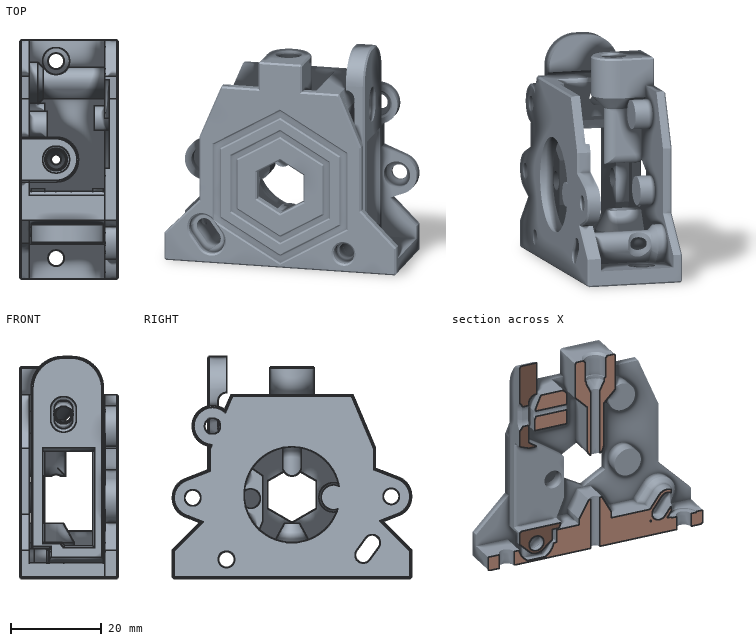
import cadquery as cq
import math


total_width = 21.85
plate_thick = 2.1
cover_thick = 2.95
cover_x = total_width - cover_thick
edge_chamfer = 0.35
base_thick = 3.5

foot_half = 26.5
waist_half = 18.5
shoulder_half = 13.45
foot_top = 6.3
waist_bottom = 14.3
waist_top = 28.9
shoulder_z = 40.85

drive_z = 18.6
hex_hole_radius = 6.15
hex_chamfer = 0.35
groove_depth = 0.3
groove_radii = [(17.85, 15.55), (13.2, 11.15)]

path_x = 8.05
path_hole_dia = 2.2
tower_top = 47.05
tower_radius = 5.0
tower_taper_z = 38.2
nozzle_radius = 2.095
nozzle_bottom = 22.75
inlet_rim_dia = 6.0
inlet_dia = 5.0
inlet_depth = 5.3
inlet_step_dia = 4.3
inlet_step_depth = 0.8
inlet_cone_depth = 2.1
guide_top = 12.3
guide_top_radius = 1.65
guide_skirt_z = 7.95
guide_radius = 4.05

floor_z = 6.6
floor_front = -9.55
floor_back = 13.65
bridge_bottom = 32.25
bridge_front = -15.05
bridge_front_top = 37.1
bridge_back = -7.05
bridge_chamfer = 0.85
bridge_hole_chamfer = 0.35

screw_dia = 3.5
mount_y = 21.85
mount_head_dia = 6.0
mount_head_z = 3.3

slot_y = 16.785
slot_z = 6.6
slot_angle = 54.0
slot_travel = 3.35
slot_head_radius = 3.1
slot_head_depth = 1.85
slot_step = 0.2
slot_wall_radius = 2.65
slot_flange_radius = 3.8
slot_flange_end = 4.05

gear_boss_dia = 6.5
gear_y = 9.25
gear_z = 18.05
gear_boss_end = 5.5
idle_boss_y = 7.5
idle_boss_z = 34.9
idle_boss_end = 6.15
hub_dia = 5.5
hub_end = 16.5
gear_pocket_radius = 11.1
gear_pocket_depth = 0.95
drive_opening_radius = 10.6

lug_radius = 4.5
lug_y = foot_half - lug_radius
lug_heights = {1: 18.25, -1: 17.9}
lug_head_dia = 6.0
lug_head_depth = 2.1
lug_flank_z = 6.2
top_lug_y = -17.6
top_lug_z = 33.85
top_lug_head_dia = 6.5
top_lug_head_chamfer = 0.4

pivot_y = -14.55
pivot_z = 4.25
trough_radius = 4.3
trough_floor = 0.55
pivot_head_dia = 4.7
pivot_head_depth = 3.2
spacer_radius = 2.45
spacer_end = 6.45
spacer_chamfer = 0.55

arm_left = 2.55
arm_right = 18.55
arm_top = 49.25
arm_front = -18.65
arm_back = -16.4
head_back = -14.4
head_bottom = 41.25
head_radius = 7.05
head_relief_radius = head_back - arm_back
arm_end_radius = 2.5
arm_bottom = pivot_z - arm_end_radius
arm_front_bottom = 4.75
arm_foot_back = -10.55
notch_right = 6.6
notch_top = 6.8
ear_foot_back = -8.9
ear_low_z = 12.75
ear_high_z = 22.8
ear_neck_z = 29.7
window_left = 5.5
window_right = 16.2
window_top = 28.2
window_low = 7.3
window_high = 8.1
window_step_x = 9.25
window_step_run = 0.7
window_chamfer = 0.4
window_roof_rise = 0.85
arm_slot_x = 9.7
arm_slot_z = 36.45
arm_slot_width = 4.2
arm_slot_height = 6.35
arm_slot_chamfer = 0.77
axle_y = -9.2
axle_z = 17.75
axle_dia = 4.3
ear_back = -6.45


def at_x(x):
    """Workplane across X, with local axes Y and Z."""
    return cq.Workplane("YZ", origin=(x, 0, 0))


def at_y(y):
    """Workplane across Y, with local axes X and Z; a negative extrusion runs towards +Y."""
    return cq.Workplane("XZ", origin=(0, y, 0))


def rod(x0, x1, y, z, radius):
    """Cylinder along X."""
    return at_x(x0).center(y, z).circle(radius).extrude(x1 - x0)


def box(x0, x1, y0, y1, z0, z1):
    return cq.Workplane("XY").box(x1 - x0, y1 - y0, z1 - z0, centered=False).translate((x0, y0, z0))


def prism_x(x0, x1, points):
    """Prism along X over a (Y, Z) outline."""
    return at_x(x0).polyline(points).close().extrude(x1 - x0)


def slanted_slot(x0, x1, radius, taper=0):
    """Obround prism around the slanted screw slot."""
    sketch = at_x(x0).center(slot_y, slot_z)
    return sketch.slot2D(slot_travel + 2 * radius, 2 * radius, slot_angle).extrude(x1 - x0, taper=taper)


def hexagon(x0, depth, radius, taper=0):
    """Hexagonal prism on the drive axis with one corner pointing up."""
    corners = [
        (radius * math.sin(i * math.pi / 3), drive_z + radius * math.cos(i * math.pi / 3))
        for i in range(6)
    ]
    return at_x(x0).polyline(corners).close().extrude(depth, taper=taper)


def plate(x0, thickness):
    """Side plate with the outline shared by the housing and the cover."""
    right = [
        (foot_half - edge_chamfer, 0),
        (foot_half, edge_chamfer),
        (foot_half, foot_top),
        (waist_half, waist_bottom),
        (waist_half, waist_top),
        (shoulder_half, shoulder_z),
    ]
    left = [(-y, z) for y, z in reversed(right)]
    return prism_x(x0, x0 + thickness, right + left)


def d_section(z, radius):
    """Wire at height z: half round about the filament path, with straight sides back to the plate."""
    return (
        cq.Workplane("XY", origin=(0, 0, z))
        .moveTo(0, -radius)
        .lineTo(path_x, -radius)
        .threePointArc((path_x + radius, 0), (path_x, radius))
        .lineTo(0, radius)
        .close()
        .wires()
        .val()
    )


def d_column(sections):
    """Stack of D-shaped sections given as (height, radius), each joined to the next by straight walls."""
    column = None
    for (z0, r0), (z1, r1) in zip(sections, sections[1:]):
        piece = cq.Workplane(cq.Solid.makeLoft([d_section(z0, r0), d_section(z1, r1)], True))
        column = piece if column is None else column.union(piece)
    return column


def tower():
    """Filament inlet tower, tapering to a narrow nozzle whose underside is half round about X."""
    column = d_column([
        (nozzle_bottom, nozzle_radius),
        (tower_taper_z - (tower_radius - nozzle_radius), nozzle_radius),
        (tower_taper_z, tower_radius),
        (tower_top, tower_radius),
    ])
    round_z = nozzle_bottom + nozzle_radius
    envelope = rod(0, cover_x, 0, round_z, nozzle_radius)
    envelope = envelope.union(box(0, cover_x, -tower_radius, tower_radius, round_z, tower_top))
    return column.intersect(envelope)


def housing_plate():
    outer = plate(0, plate_thick)
    outer = outer.union(box(0, plate_thick, -tower_radius, tower_radius, drive_z, tower_top))
    return outer.union(tower()).faces("<X or >Z").chamfer(edge_chamfer)


def guide():
    return d_column([
        (base_thick, guide_radius),
        (guide_skirt_z, guide_radius),
        (guide_top, guide_top_radius),
    ])


def bridge():
    return prism_x(plate_thick, cover_x, [
        (bridge_back, bridge_bottom),
        (bridge_back, shoulder_z - bridge_chamfer),
        (bridge_back - bridge_chamfer, shoulder_z),
        (-shoulder_half, shoulder_z),
        (bridge_front, bridge_front_top),
        (bridge_front, bridge_bottom),
    ])


def slot_tube():
    """Wall around the slanted screw slot, with a flange that tapers down to it."""
    tube = slanted_slot(plate_thick, cover_x, slot_wall_radius)
    flange = slanted_slot(plate_thick, slot_flange_end, slot_flange_radius)
    cone_length = slot_flange_radius - slot_wall_radius
    cone = slanted_slot(slot_flange_end, slot_flange_end + cone_length, slot_flange_radius, taper=45)
    above_ground = box(0, cover_x, -foot_half, foot_half, 0, tower_top)
    return tube.union(flange).union(cone).intersect(above_ground)


def pivot_trough():
    """Room for the round lower end of the arm."""
    round_room = rod(plate_thick, cover_x, pivot_y, pivot_z, trough_radius)
    return round_room.intersect(box(0, cover_x, -foot_half, 0, trough_floor, drive_z))


def pivot_spacer():
    """Round-topped pad that holds the arm off the plate."""
    pad = rod(plate_thick, spacer_end, pivot_y, pivot_z, spacer_radius)
    foot = box(plate_thick, spacer_end, pivot_y - spacer_radius, pivot_y + spacer_radius, 0, pivot_z)
    pad = pad.union(foot).faces(">X").chamfer(spacer_chamfer)
    return pad.intersect(box(0, cover_x, -foot_half, 0, edge_chamfer, drive_z))


def inlet_bore():
    """Stepped bore of the filament inlet, as one turned shape."""
    rim_depth = (inlet_rim_dia - inlet_dia) / 2
    step_z = tower_top - inlet_depth
    cone_z = step_z - inlet_step_depth
    profile = [
        (0, tower_top),
        (inlet_rim_dia / 2, tower_top),
        (inlet_dia / 2, tower_top - rim_depth),
        (inlet_dia / 2, step_z),
        (inlet_step_dia / 2, step_z),
        (inlet_step_dia / 2, cone_z),
        (path_hole_dia / 2, cone_z - inlet_cone_depth),
        (path_hole_dia / 2, 0),
        (0, 0),
    ]
    turned = cq.Workplane("XZ").polyline(profile).close().revolve(360, (0, 0), (0, 1))
    return turned.translate((path_x, 0, 0))


def hex_groove(outer_radius, inner_radius):
    """Shallow hexagonal ring in the outer face, with 45-degree walls."""
    ring = hexagon(0, groove_depth, outer_radius, taper=45)
    return ring.cut(hexagon(0, groove_depth, inner_radius, taper=-45))


def slot_cut():
    head = slanted_slot(0, slot_head_depth, slot_head_radius)
    rim = slanted_slot(0, edge_chamfer, slot_head_radius + edge_chamfer, taper=45)
    through = slanted_slot(0, total_width, screw_dia / 2)
    step = (
        at_x(slot_head_depth)
        .center(slot_y, slot_z)
        .transformed(rotate=(0, 0, slot_angle))
        .rect(slot_travel + screw_dia, 2 * slot_head_radius)
        .extrude(slot_step)
    )
    return head.union(rim).union(through).union(step)


def pivot_bore():
    rim = at_x(0).center(pivot_y, pivot_z).circle(pivot_head_dia / 2 + edge_chamfer)
    bore = rim.extrude(edge_chamfer, taper=45)
    bore = bore.union(rod(0, pivot_head_depth, pivot_y, pivot_z, pivot_head_dia / 2))
    return bore.union(rod(0, total_width, pivot_y, pivot_z, screw_dia / 2))


def mount_holes():
    holes = cq.Workplane("XY").pushPoints([(path_x, mount_y), (path_x, -mount_y)])
    holes = holes.circle(screw_dia / 2).extrude(base_thick)
    head = cq.Workplane("XY", origin=(path_x, mount_y, mount_head_z))
    return holes.union(head.circle(mount_head_dia / 2).extrude(drive_z))


def bridge_hole():
    """Screw hole along Y through the bridge, chamfered at its front."""
    radius = screw_dia / 2
    start = at_y(bridge_front).center(arm_slot_x, arm_slot_z)
    hole = start.circle(radius).extrude(bridge_front - bridge_back)
    return hole.union(start.circle(radius + bridge_hole_chamfer).extrude(-bridge_hole_chamfer, taper=45))


def build_housing():
    body = housing_plate()
    base = box(plate_thick, cover_x, -foot_half, foot_half, 0, base_thick)
    base = base.edges("|X and <Z").chamfer(edge_chamfer)
    body = body.union(base)
    body = body.union(box(plate_thick, cover_x, floor_front, floor_back, edge_chamfer, floor_z))
    body = body.union(guide())
    body = body.union(bridge()).union(slot_tube())
    body = body.union(rod(plate_thick, gear_boss_end, gear_y, gear_z, gear_boss_dia / 2))
    body = body.union(rod(plate_thick, idle_boss_end, idle_boss_y, idle_boss_z, gear_boss_dia / 2))
    body = body.cut(pivot_trough()).union(pivot_spacer())

    for outer_radius, inner_radius in groove_radii:
        body = body.cut(hex_groove(outer_radius, inner_radius))
    body = body.cut(hexagon(0, plate_thick, hex_hole_radius))
    body = body.cut(hexagon(0, hex_chamfer, hex_hole_radius + hex_chamfer, taper=45))
    body = body.cut(inlet_bore()).cut(slot_cut()).cut(pivot_bore()).cut(mount_holes())
    return body.cut(bridge_hole())


def low_lug(side):
    """Lug at mid height; side is 1 towards +Y and -1 towards -Y. Its flanks are tangent to the round end."""
    lug_z = lug_heights[side]
    reach = lug_y - waist_half
    tilt = math.acos(lug_radius / math.hypot(reach, lug_flank_z))
    angle = math.atan2(lug_flank_z, -reach) - tilt
    tangent_y = lug_y + lug_radius * math.cos(angle)
    tangent_z = lug_radius * math.sin(angle)
    return (
        at_x(cover_x)
        .moveTo(side * waist_half, lug_z + lug_flank_z)
        .lineTo(side * tangent_y, lug_z + tangent_z)
        .threePointArc((side * foot_half, lug_z), (side * tangent_y, lug_z - tangent_z))
        .lineTo(side * waist_half, lug_z - lug_flank_z)
        .close()
        .extrude(cover_thick)
    )


def build_cover():
    body = plate(cover_x, cover_thick)
    for side in (1, -1):
        body = body.union(low_lug(side))
    body = body.union(rod(cover_x, total_width, top_lug_y, top_lug_z, lug_radius))
    body = body.faces(">X").chamfer(edge_chamfer)

    pocket_end = cover_x + gear_pocket_depth
    body = body.cut(rod(cover_x, pocket_end, idle_boss_y, idle_boss_z, gear_pocket_radius))
    body = body.cut(rod(cover_x, total_width, 0, drive_z, drive_opening_radius))
    body = body.union(rod(hub_end, total_width, gear_y, gear_z, hub_dia / 2))

    for side in (1, -1):
        body = body.cut(rod(cover_x, total_width, side * lug_y, lug_heights[side], screw_dia / 2))
        body = body.cut(rod(cover_x, cover_x + lug_head_depth, side * lug_y, lug_heights[side], lug_head_dia / 2))

    head = at_x(cover_x).center(top_lug_y, top_lug_z).circle(top_lug_head_dia / 2)
    cone = head.extrude(top_lug_head_chamfer, taper=45)
    seat_radius = top_lug_head_dia / 2 - top_lug_head_chamfer
    body = body.cut(cone)
    body = body.cut(rod(cover_x, cover_x + lug_head_depth, top_lug_y, top_lug_z, seat_radius))
    body = body.cut(rod(cover_x, total_width, top_lug_y, top_lug_z, screw_dia / 2))
    return body.cut(slot_cut()).cut(pivot_bore())


def arm_blank():
    """Front outline of the arm, notched at the lower left around the pivot spacer."""
    shoulder = arm_top - head_radius
    slope = head_radius * math.sqrt(0.5)
    return (
        at_y(arm_front)
        .moveTo(notch_right, arm_bottom)
        .lineTo(arm_right, arm_bottom)
        .lineTo(arm_right, shoulder)
        .threePointArc((arm_right - head_radius + slope, shoulder + slope), (arm_right - head_radius, arm_top))
        .lineTo(arm_left + head_radius, arm_top)
        .threePointArc((arm_left + head_radius - slope, shoulder + slope), (arm_left, shoulder))
        .lineTo(arm_left, notch_top)
        .lineTo(notch_right, notch_top)
        .close()
        .extrude(arm_front - ear_back)
        .faces("<Y")
        .edges("not <Z")
        .chamfer(edge_chamfer)
    )


def arm_side():
    """Side outline: pivot end rounded below a sloped front, ears at the idler axle, thin neck, thick head."""
    relief_z = head_bottom - head_relief_radius
    tangent = arm_end_radius * math.sqrt(0.5)
    bend = head_relief_radius * math.sqrt(0.5)
    return (
        at_x(arm_left)
        .moveTo(arm_front, arm_front_bottom)
        .lineTo(pivot_y - tangent, pivot_z - tangent)
        .threePointArc((pivot_y, arm_bottom), (pivot_y + tangent, pivot_z - tangent))
        .lineTo(arm_foot_back, pivot_z)
        .lineTo(arm_foot_back, notch_top)
        .lineTo(ear_foot_back, notch_top)
        .lineTo(ear_back, ear_low_z)
        .lineTo(ear_back, ear_high_z)
        .lineTo(arm_back, ear_neck_z)
        .lineTo(arm_back, relief_z)
        .threePointArc((head_back - bend, relief_z + bend), (head_back, head_bottom))
        .lineTo(head_back, arm_top)
        .lineTo(arm_front, arm_top)
        .close()
        .extrude(arm_right - arm_left)
    )


def window_outline(y, grow):
    step_end = window_step_x + window_step_run
    return (
        at_y(y)
        .polyline([
            (window_left - grow, window_high - grow),
            (window_step_x - grow / 2, window_high - grow),
            (step_end - grow / 2, window_low - grow),
            (window_right + grow, window_low - grow),
            (window_right + grow, window_top + grow),
            (window_left - grow, window_top + grow),
        ])
        .close()
    )


def arm_window():
    through = window_outline(arm_front, 0).extrude(arm_front - ear_back)
    front = window_outline(arm_front, window_chamfer).wires().val()
    inner = window_outline(arm_front + window_chamfer, 0).wires().val()
    roof = prism_x(window_left - window_chamfer, window_right + window_chamfer, [
        (arm_front, window_top),
        (arm_front, window_top + window_roof_rise),
        (arm_back, window_top),
    ])
    return through.union(cq.Workplane(cq.Solid.makeLoft([front, inner], True))).union(roof)


def arm_slot():
    def outline(grow):
        sketch = at_y(arm_front).center(arm_slot_x, arm_slot_z)
        return sketch.slot2D(arm_slot_height + 2 * grow, arm_slot_width + 2 * grow, 90)

    through = outline(0).extrude(arm_front - arm_back)
    return through.union(outline(arm_slot_chamfer).extrude(-arm_slot_chamfer, taper=45))


def build_arm():
    body = arm_blank().intersect(arm_side())
    body = body.cut(arm_window()).cut(arm_slot())
    body = body.cut(rod(arm_left, arm_right, axle_y, axle_z, axle_dia / 2))
    return body.cut(rod(arm_left, arm_right, pivot_y, pivot_z, screw_dia / 2))


housing = build_housing()
cover = build_cover()
arm = build_arm()

result = cq.Compound.makeCompound([housing.val(), cover.val(), arm.val()])